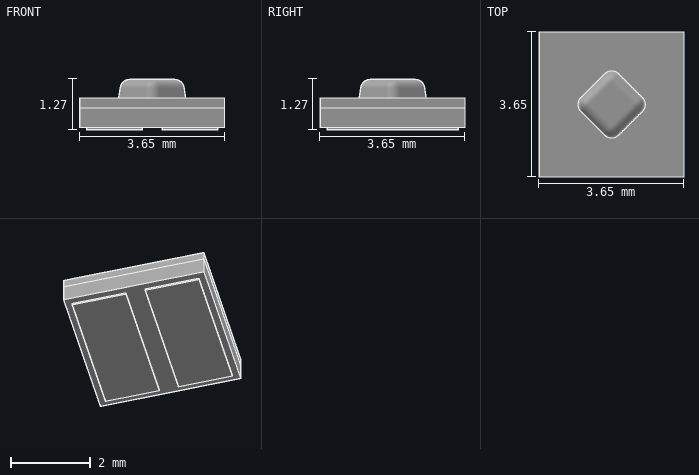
import cadquery as cq

package_side = 3.65
base_height = 0.5
cover_height = 0.25

pad_height = 0.05
pad_length = 3.3
pad_width = 1.4
pad_inset = (package_side - pad_length) / 2

lens_side = 1.34
lens_height = 0.47
lens_draft = 6.0
lens_edge_radius = 0.25
lens_turn = 45.0

base_bottom = pad_height
cover_bottom = base_bottom + base_height
lens_bottom = cover_bottom + cover_height
pad_offset = package_side / 2 - pad_inset - pad_width / 2


def make_block(size_x, size_y, height, bottom, center_x=0.0):
    """Rectangular block standing on the given level."""
    return cq.Workplane("XY", origin=(center_x, 0, bottom)).rect(size_x, size_y).extrude(height)


def make_base():
    return make_block(package_side, package_side, base_height, base_bottom)


def make_cover():
    return make_block(package_side, package_side, cover_height, cover_bottom)


def make_pad(center_x):
    return make_block(pad_width, pad_length, pad_height, 0, center_x)


def make_lens():
    """Square frustum with every edge rounded except those resting on the cover."""
    frustum = (
        cq.Workplane("XY", origin=(0, 0, lens_bottom))
        .rect(lens_side, lens_side)
        .extrude(lens_height, taper=lens_draft)
    )
    rounded = frustum.edges("not <Z").fillet(lens_edge_radius)
    return rounded.rotate((0, 0, 0), (0, 0, 1), lens_turn)


base = make_base()
cover = make_cover()
lens = make_lens()
pads = [make_pad(side * pad_offset) for side in (-1, 1)]

result = cq.Compound.makeCompound([
    base.val(),
    cover.val(),
    lens.val(),
    *[pad.val() for pad in pads],
])